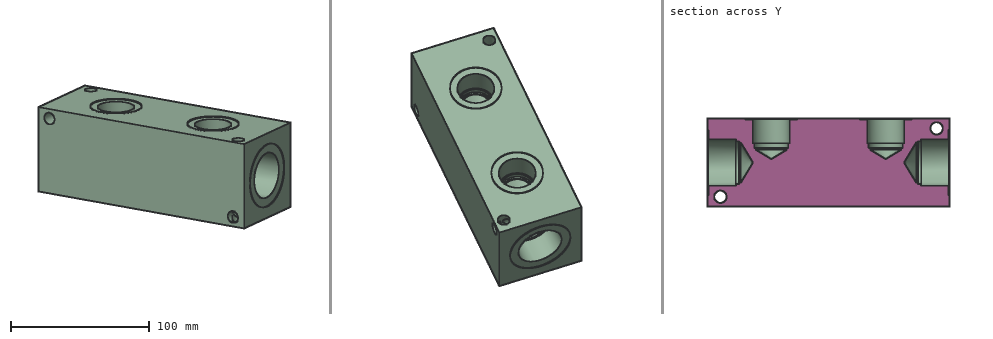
import cadquery as cq
import math

length = 174.6
side = 63.5

mount_diameter = 8.7
mount_x = 77.9
mount_offset = 24.6

spotface_depth = 0.7
drill_point_angle = 118
drill_land = 0.9

top_port_spacing = 82.5
top_spotface_diameter = 37.2
top_thread_diameter = 26.5
top_thread_depth = 17.8
top_tap_diameter = 24.5
top_tap_depth = 21
top_drill_diameter = 22.2

end_spotface_diameter = 46.6
end_thread_diameter = 33.4
end_thread_depth = 20.6
end_tap_diameter = 30.5
end_tap_depth = 22.7
end_drill_diameter = 28.6


def point_height(radius):
    """Height of a full drill point of the given radius."""
    return radius / math.tan(math.radians(drill_point_angle / 2))


def port_cutter(spotface_diameter, thread_diameter, thread_depth, tap_diameter, tap_depth, drill_diameter):
    """Blind stepped port that opens at the origin and runs down -Z to a drill point."""
    spotface_radius = spotface_diameter / 2
    thread_radius = thread_diameter / 2
    tap_radius = tap_diameter / 2
    drill_radius = drill_diameter / 2
    drill_start = tap_depth + point_height(tap_radius - drill_radius)
    drill_end = drill_start + drill_land
    tip_depth = drill_end + point_height(drill_radius)
    profile = [
        (0, 0),
        (spotface_radius, 0),
        (spotface_radius, -spotface_depth),
        (thread_radius, -spotface_depth),
        (thread_radius, -thread_depth),
        (tap_radius, -thread_depth),
        (tap_radius, -tap_depth),
        (drill_radius, -drill_start),
        (drill_radius, -drill_end),
        (0, -tip_depth),
    ]
    return cq.Workplane("XZ").polyline(profile).close().revolve(360, (0, 0, 0), (0, 1, 0))


def mounting_holes(plane):
    """Two through holes normal to the plane, in diagonally opposite corners."""
    return (
        cq.Workplane(plane)
        .pushPoints([(-mount_x, mount_offset), (mount_x, -mount_offset)])
        .circle(mount_diameter / 2)
        .extrude(side / 2, both=True)
    )


result = cq.Workplane("XY").box(length, side, side)

top_port = port_cutter(
    top_spotface_diameter,
    top_thread_diameter,
    top_thread_depth,
    top_tap_diameter,
    top_tap_depth,
    top_drill_diameter,
)
for direction in (-1, 1):
    result = result.cut(top_port.translate((direction * top_port_spacing / 2, 0, side / 2)))

end_port = port_cutter(
    end_spotface_diameter,
    end_thread_diameter,
    end_thread_depth,
    end_tap_diameter,
    end_tap_depth,
    end_drill_diameter,
)
for direction in (-1, 1):
    turned_port = end_port.rotate((0, 0, 0), (0, 1, 0), direction * 90)
    result = result.cut(turned_port.translate((direction * length / 2, 0, 0)))

for plane in ("XY", "XZ"):
    result = result.cut(mounting_holes(plane))